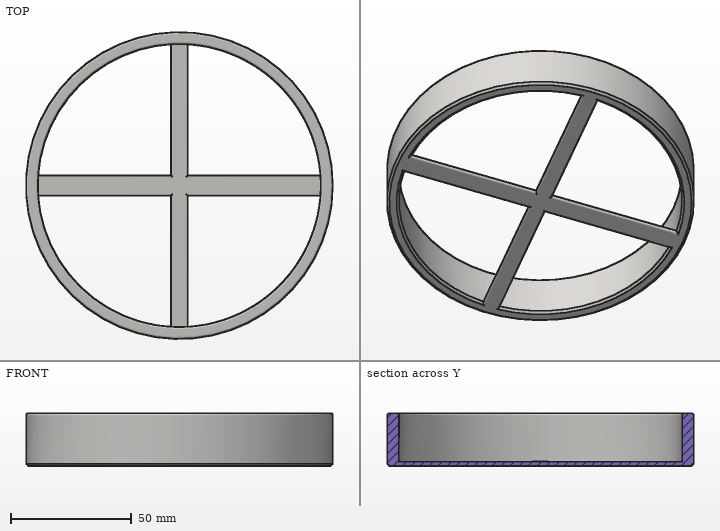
import cadquery as cq

outer_diameter = 127.5
inner_diameter = 117.5
ring_height = 22.0
ring_top_radius = 1.0
ring_bottom_chamfer = 1.0

bar_along_x_width = 8.5
bar_along_y_width = 7.0
bar_thickness = 2.0
bar_edge_radius = 0.75

bar_length = (outer_diameter + inner_diameter) / 2


def make_ring():
    """Tube with rounded rims at the top and chamfered rims at the bottom."""
    tube = cq.Workplane("XY").circle(outer_diameter / 2).circle(inner_diameter / 2).extrude(ring_height)
    tube = tube.faces(">Z").edges().fillet(ring_top_radius)
    return tube.faces("<Z").edges().chamfer(ring_bottom_chamfer)


def make_bar(size_x, size_y):
    """Flat bar centred on the ring axis, standing on the bottom plane."""
    return cq.Workplane("XY").box(size_x, size_y, bar_thickness, centered=(True, True, False))


def make_cross():
    """Two crossed bars with rounded top and bottom edges."""
    bar_along_x = make_bar(bar_length, bar_along_x_width)
    bar_along_y = make_bar(bar_along_y_width, bar_length)
    cross = bar_along_x.union(bar_along_y)
    return cross.faces("<Z or >Z").edges().fillet(bar_edge_radius)


result = make_ring().union(make_cross())